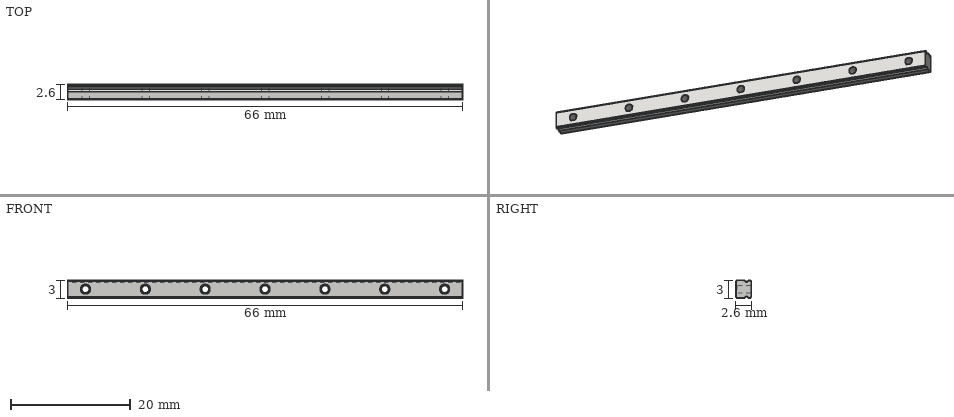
import cadquery as cq

length = 66.0
width = 2.6
height = 3.0

edge_chamfer = 0.2

groove_width = 0.8
groove_depth = 0.3
groove_offset = 0.8

hole_count = 7
hole_pitch = 10.0
hole_diameter = 1.25
countersink_diameter = 1.6
countersink_angle = 90.0


def rail_body():
    """Rectangular bar, centred on the origin, with its four long edges chamfered."""
    bar = cq.Workplane("XY").box(length, width, height)
    return bar.edges("|X").chamfer(edge_chamfer)


def groove_cutter(side):
    """Bar with a triangular section; side is +1 for the top groove, -1 for the bottom."""
    centre_y = width / 2 - groove_offset
    face_z = side * height / 2
    outline = [
        (centre_y - groove_width / 2, face_z),
        (centre_y, face_z - side * groove_depth),
        (centre_y + groove_width / 2, face_z),
    ]
    return cq.Workplane("YZ").polyline(outline).close().extrude(length / 2, both=True)


def drill_mounting_holes(body):
    """Evenly spaced through holes along Y, countersunk from the front face."""
    front_plane = cq.Workplane("XZ", origin=(0, -width / 2, 0))
    front_face = body.copyWorkplane(front_plane)
    centres = front_face.rarray(hole_pitch, 1, hole_count, 1)
    return centres.cskHole(hole_diameter, countersink_diameter, countersink_angle)


rail = rail_body()
for side in (1, -1):
    rail = rail.cut(groove_cutter(side))
result = drill_mounting_holes(rail)